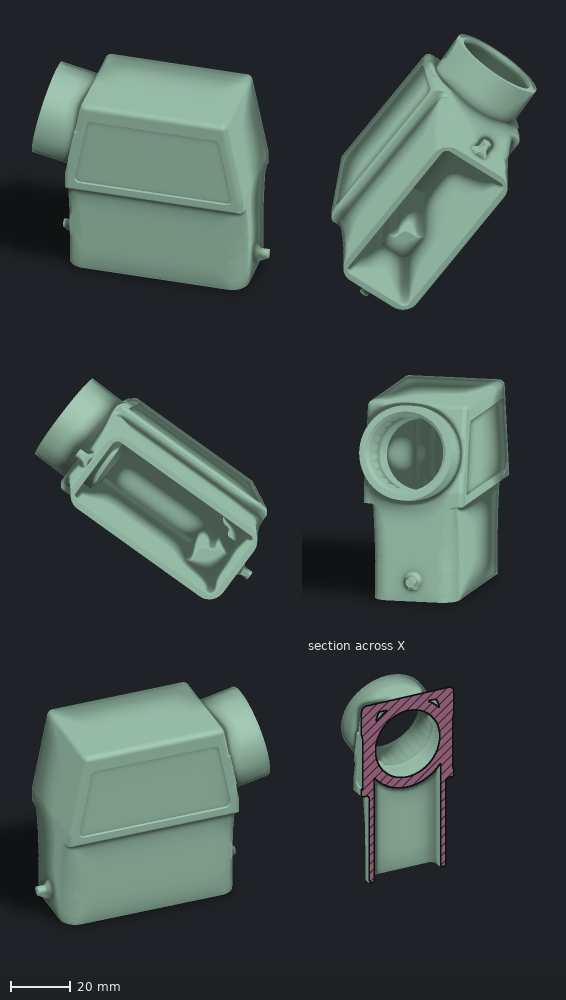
import cadquery as cq
import math


BODY_LENGTH = 62.5
BODY_WIDTH = 29.2
RIM_HEIGHT = 3.1
RIM_DRAFT = 1.0
CORNER_RADIUS = 5.8
CORNER_STRAIGHT_TOP = 10.75
CORNER_TOP_RADIUS = 2.6
CORNER_SECTIONS = 6

HOOD_WIDTH = 35.3
HOOD_BOTTOM = 33.0
HOOD_TOP = 67.2
SLOPE_START = 37.7
SLOPE_ANGLE = 11.3
SLOPE_BLEND_RADIUS = 4.3
HOOD_EDGE_RADIUS = 2.1
HOOD_BOTTOM_RADIUS = 0.7
SHOULDER_RADIUS = 1.2

PAD_LENGTH = 11.8
PAD_EDGE_RADIUS = 0.65

PANEL_BOTTOM = 36.0
PANEL_TOP = 61.2
PANEL_BOTTOM_HALF = 28.1
PANEL_CORNER_RADIUS = 2.1
PANEL_DEPTH = 0.5
PANEL_EDGE_CHAMFER = 0.4

COLLAR_LIP_X = -41.75
COLLAR_LIP_Z = 52.9
COLLAR_RADIUS = 16.1
COLLAR_LENGTH = 22.6
MOUTH_RADIUS = 14.0
BORE_RADIUS = 12.9
BORE_END_RADIUS = 12.4
BORE_DEPTH = 12.7
EXIT_RADIUS = 12.1
EXIT_START = 13.6

WALL = 2.1
CAVITY_EDGE_RADIUS = 2.1
BUTTRESS_X = 19.8
CHANNEL_HALF = 5.1
BUTTRESS_RADIUS = 2.5

PIN_TIP = 35.9
PIN_Z = 7.3
PIN_RADIUS = 1.5
PIN_CONE_RADIUS = 3.15
PIN_CONE_LENGTH = 1.6
GUSSET_BOTTOM = 4.4
GUSSET_BASE_HALF = 2.1
GUSSET_NECK_HALF = 1.05
GUSSET_TIP_TOP_HALF = 0.7
GUSSET_TIP_HALF = 0.4

CLEARANCE = 0.8

HALF_LENGTH = BODY_LENGTH / 2
HALF_WIDTH = BODY_WIDTH / 2
SLOPE = math.tan(math.radians(SLOPE_ANGLE))


def corner_radius(z):
    """Body corner radius, shrinking along a parabola above the straight part."""
    rise = (z - CORNER_STRAIGHT_TOP) / (HOOD_BOTTOM - CORNER_STRAIGHT_TOP)
    return CORNER_RADIUS - (CORNER_RADIUS - CORNER_TOP_RADIUS) * rise**2


def corner_cutter():
    """Material outside the shrinking corner radius at the +X +Y corner of the body."""
    outer_x = HALF_LENGTH + CLEARANCE
    outer_y = HALF_WIDTH + CLEARANCE
    step = (HOOD_BOTTOM - CORNER_STRAIGHT_TOP) / (CORNER_SECTIONS - 1)
    wires = []
    for i in range(CORNER_SECTIONS):
        z = CORNER_STRAIGHT_TOP + i * step
        radius = corner_radius(z)
        inset = radius * (1 - math.sqrt(0.5))
        section = (
            cq.Workplane("XY", origin=(0, 0, z))
            .moveTo(HALF_LENGTH - radius, HALF_WIDTH)
            .threePointArc((HALF_LENGTH - inset, HALF_WIDTH - inset), (HALF_LENGTH, HALF_WIDTH - radius))
            .lineTo(outer_x, HALF_WIDTH - radius)
            .lineTo(outer_x, outer_y)
            .lineTo(HALF_LENGTH - radius, outer_y)
            .close()
        )
        wires.append(section.val())
    return cq.Workplane(cq.Solid.makeLoft(wires))


def lower_body():
    """Rounded body with a drafted rim, whose corners grow sharper toward the hood."""

    def block(bottom, top):
        plan = cq.Workplane("XY", origin=(0, 0, bottom)).rect(BODY_LENGTH, BODY_WIDTH)
        return plan.extrude(top - bottom)

    rim = (
        block(0, RIM_HEIGHT)
        .edges("|Z")
        .fillet(CORNER_RADIUS)
        .faces(">Z")
        .wires()
        .toPending()
        .workplane()
        .extrude(-RIM_HEIGHT, combine=False, taper=RIM_DRAFT)
    )
    straight = block(RIM_HEIGHT, CORNER_STRAIGHT_TOP).edges("|Z").fillet(CORNER_RADIUS)
    tapered = block(CORNER_STRAIGHT_TOP, HOOD_BOTTOM)
    cutter = corner_cutter()
    for piece in (cutter, cutter.mirror("YZ")):
        tapered = tapered.cut(piece).cut(piece.mirror("XZ"))
    return rim.union(straight).union(tapered)


def tapered_prism(half_length, width, bottom, top):
    """Block with upright ends up to the slope start, then ends leaning inward."""
    top_half = half_length - (top - SLOPE_START) * SLOPE
    outline = [
        (-half_length, bottom),
        (half_length, bottom),
        (half_length, SLOPE_START),
        (top_half, top),
        (-top_half, top),
        (-half_length, SLOPE_START),
    ]
    return cq.Workplane("XZ").polyline(outline).close().extrude(width / 2, both=True)


def collar_plane():
    """Plane on the collar lip, with its normal pointing along the bore into the hood."""
    angle = math.radians(SLOPE_ANGLE)
    return cq.Plane(
        origin=(COLLAR_LIP_X, 0, COLLAR_LIP_Z),
        xDir=(0, 1, 0),
        normal=(math.cos(angle), 0, -math.sin(angle)),
    )


def round_hood(radius):
    """Hood with its end blends, and the given radius on its upright, sloping and top edges."""
    block = tapered_prism(HALF_LENGTH, HOOD_WIDTH, HOOD_BOTTOM, HOOD_TOP)
    slope_corners = cq.selectors.BoxSelector(
        (-HALF_LENGTH - CLEARANCE, -CLEARANCE, SLOPE_START - CLEARANCE),
        (HALF_LENGTH + CLEARANCE, CLEARANCE, SLOPE_START + CLEARANCE),
    )
    block = block.edges(slope_corners).fillet(SLOPE_BLEND_RADIUS)
    top_edges = cq.selectors.StringSyntaxSelector(">Z")
    outline_edges = cq.selectors.StringSyntaxSelector("(not |Y) and (not <Z)")
    return block.edges(top_edges + outline_edges).fillet(radius)


def collar_pads():
    """Stretches of the corner edges, level with the collar, that keep a smaller radius."""
    band = cq.Workplane(collar_plane()).rect(2 * HOOD_WIDTH, PAD_LENGTH).extrude(COLLAR_LENGTH)
    return round_hood(PAD_EDGE_RADIUS).intersect(band)


def hood():
    """Hood whose underside is rounded along the long sides only, flush with the body at the ends."""
    envelope = (
        cq.Workplane("XY", origin=(0, 0, HOOD_BOTTOM))
        .box(2 * BODY_LENGTH, HOOD_WIDTH, HOOD_TOP, centered=(True, True, False))
        .edges("|X and <Z")
        .fillet(HOOD_BOTTOM_RADIUS)
    )
    return round_hood(HOOD_EDGE_RADIUS).intersect(envelope).union(collar_pads())


def shoulder_coves():
    """Concave fillets under the hood overhang, turning round the body corners."""
    straight_half = HALF_LENGTH - CORNER_TOP_RADIUS
    pivot_y = HALF_WIDTH - CORNER_TOP_RADIUS
    wall_y = CORNER_TOP_RADIUS
    edge_y = wall_y + SHOULDER_RADIUS
    inset = SHOULDER_RADIUS * (1 - math.sqrt(0.5))

    def profile(x):
        return (
            cq.Workplane("YZ", origin=(x, pivot_y, HOOD_BOTTOM))
            .lineTo(edge_y, 0)
            .threePointArc((wall_y + inset, -inset), (wall_y, -SHOULDER_RADIUS))
            .lineTo(0, -SHOULDER_RADIUS)
            .close()
        )

    side = profile(-straight_half).extrude(2 * straight_half)
    corner = profile(straight_half).revolve(90, (0, 0, 0), (0, -1, 0))
    corner_far = corner.mirror("YZ")
    cove = side.union(corner).union(corner_far)
    footprint = (
        cq.Workplane("XY")
        .box(BODY_LENGTH, HOOD_WIDTH, HOOD_TOP, centered=(True, True, False))
        .edges("|Z")
        .fillet(HOOD_EDGE_RADIUS)
    )
    return cove.union(cove.mirror("XZ")).intersect(footprint)


def panel_cutter():
    """Trapezoid recess with sloping walls in the -Y side of the hood."""
    height = PANEL_TOP - PANEL_BOTTOM
    top_half = PANEL_BOTTOM_HALF - height * SLOPE
    return (
        cq.Workplane("XZ", origin=(0, -HOOD_WIDTH / 2, 0))
        .polyline(
            [
                (-PANEL_BOTTOM_HALF, PANEL_BOTTOM),
                (PANEL_BOTTOM_HALF, PANEL_BOTTOM),
                (top_half, PANEL_TOP),
                (-top_half, PANEL_TOP),
            ]
        )
        .close()
        .extrude(-PANEL_DEPTH)
        .edges("|Y")
        .fillet(PANEL_CORNER_RADIUS)
        .faces(">Y")
        .chamfer(PANEL_EDGE_CHAMFER)
    )


def buttress():
    """Upright thickening of the +X hood wall, on the +Y side of the central channel."""
    side_y = HALF_WIDTH - WALL
    radius = BUTTRESS_RADIUS
    corner = CAVITY_EDGE_RADIUS
    turn_x = BUTTRESS_X + radius
    return (
        cq.Workplane("XY", origin=(0, 0, HOOD_BOTTOM))
        .moveTo(BUTTRESS_X - corner, side_y)
        .radiusArc((BUTTRESS_X, side_y - corner), corner)
        .lineTo(BUTTRESS_X, CHANNEL_HALF + radius)
        .radiusArc((turn_x, CHANNEL_HALF), -radius)
        .radiusArc((turn_x + radius, CHANNEL_HALF - radius), radius)
        .lineTo(HALF_LENGTH, CHANNEL_HALF - radius)
        .lineTo(HALF_LENGTH, side_y)
        .close()
        .extrude(HOOD_TOP - HOOD_BOTTOM)
    )


def cavity():
    """Hollow open at the bottom, narrowed by the two buttresses on the +X wall."""
    roof = HOOD_TOP - WALL
    hollow = tapered_prism(HALF_LENGTH - WALL, BODY_WIDTH - 2 * WALL, 0, roof)
    hollow = hollow.edges("(not |Y) and (not <Z)").fillet(CAVITY_EDGE_RADIUS)
    thickening = buttress()
    return hollow.cut(thickening).cut(thickening.mirror("XZ"))


def collar():
    """Cylinder from the lip through the hood end into the cavity."""
    return cq.Workplane(collar_plane()).circle(COLLAR_RADIUS).extrude(COLLAR_LENGTH)


def collar_bore():
    """Chamfered mouth, slightly tapered bore, and a narrower cylindrical exit."""
    mouth_depth = MOUTH_RADIUS - BORE_RADIUS
    profile = [
        (0, 0),
        (MOUTH_RADIUS, 0),
        (BORE_RADIUS, mouth_depth),
        (BORE_END_RADIUS, BORE_DEPTH),
        (EXIT_RADIUS, EXIT_START),
        (EXIT_RADIUS, COLLAR_LENGTH),
        (0, COLLAR_LENGTH),
    ]
    lip = collar_plane()
    axial = cq.Plane(origin=lip.origin, xDir=lip.xDir, normal=lip.xDir.cross(lip.zDir))
    return cq.Workplane(axial).polyline(profile).close().revolve(360, (0, 0, 0), (0, 1, 0))


def locking_pin():
    """Pin on the +X end: cone root, plain tip and a tapering gusset underneath."""
    neck = HALF_LENGTH + PIN_CONE_LENGTH
    pin = cq.Workplane("YZ", origin=(0, 0, PIN_Z)).circle(PIN_RADIUS).extrude(PIN_TIP)
    cone = cq.Workplane(
        cq.Solid.makeCone(
            PIN_CONE_RADIUS,
            PIN_RADIUS,
            PIN_CONE_LENGTH,
            pnt=cq.Vector(HALF_LENGTH, 0, PIN_Z),
            dir=cq.Vector(1, 0, 0),
        )
    )

    def section(x, upper_half, lower_half, bottom):
        points = [(-upper_half, PIN_Z), (upper_half, PIN_Z), (lower_half, bottom), (-lower_half, bottom)]
        return cq.Workplane("YZ", origin=(x, 0, 0)).polyline(points).close().val()

    wall_section = section(HALF_LENGTH, PIN_CONE_RADIUS, GUSSET_BASE_HALF, GUSSET_BOTTOM)
    neck_section = section(neck, PIN_RADIUS, GUSSET_NECK_HALF, GUSSET_BOTTOM)
    tip_section = section(PIN_TIP, GUSSET_TIP_TOP_HALF, GUSSET_TIP_HALF, PIN_Z - PIN_RADIUS)
    root = cq.Workplane(cq.Solid.makeLoft([wall_section, neck_section], True))
    tail = cq.Workplane(cq.Solid.makeLoft([neck_section, tip_section], True))
    below = cq.Workplane("XY").box(2 * PIN_TIP, HOOD_WIDTH, GUSSET_BOTTOM, centered=(True, True, False))
    return pin.union(cone).union(root).union(tail).cut(below)


shell = hood().union(lower_body()).union(shoulder_coves())
panel = panel_cutter()
shell = shell.cut(panel).cut(panel.mirror("XZ"))
pin = locking_pin()
shell = shell.union(pin).union(pin.mirror("YZ")).union(collar())
result = shell.cut(cavity().cut(collar())).cut(collar_bore())